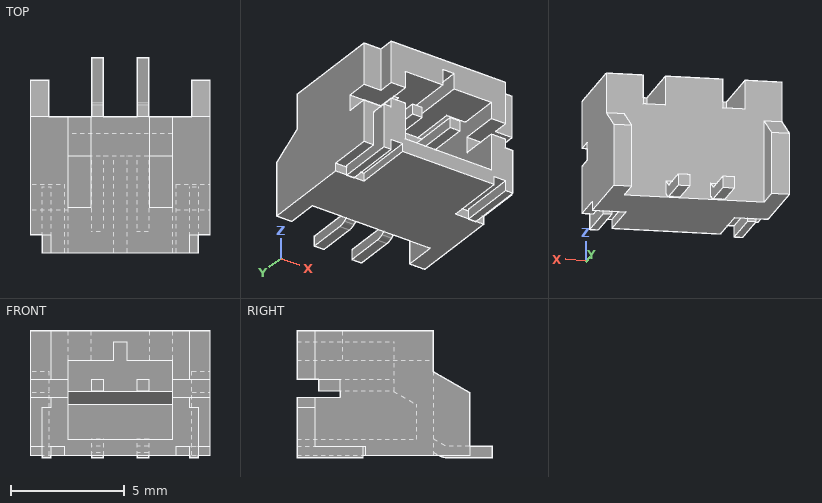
import cadquery as cq
import math


width = 7.9
height = 5.6
standoff = 0.1
housing_back = 6.0
nose_width = 6.11
nose_length = 0.8

ear_back = 7.6
ear_width = 0.81
ear_low = 2.87
ear_high = 3.79

cavity_width = 4.575
cavity_floor = 0.81
cavity_top = 4.29
cavity_back = 4.26
undercut_low = 2.34
undercut_high = 2.915
slope_angle = 30.0
keyway_width = 0.6
keyway_top = 5.09

side_slot_depth = 1.89
side_slot_low = 2.66
side_slot_high = 3.46
top_slot_width = 1.0
top_slot_front = 2.01

tab_thickness = 0.39
tab_top = 2.21
tab_length = 2.91
recess_top = 0.51
recess_back = 3.01
recess_inner_x = 2.44

pin_pitch = 2.0
pin_size = 0.52
pin_front = 0.955
pin_top = 3.46
foot_back = 8.6
bend_start = 6.61
bend_radius = 0.21
embedded_length = 0.69

SIDES = (-1, 1)
slope = math.tan(math.radians(slope_angle))


def box(x0, x1, y0, y1, z0, z1):
    """Box between opposite corner coordinates, given in any order."""
    size = (abs(x1 - x0), abs(y1 - y0), abs(z1 - z0))
    centre = ((x0 + x1) / 2, (y0 + y1) / 2, (z0 + z1) / 2)
    return cq.Workplane("XY").box(*size).translate(centre)


def side_profile(points, x0, x1):
    """Extrude a (Y, Z) outline from x0 to x1."""
    return cq.Workplane("YZ").polyline(points).close().extrude(x1 - x0).translate((x0, 0, 0))


def make_housing():
    """Main block with narrowed nose and two sloping rear ears."""
    half = width / 2
    body = box(-half, half, nose_length, housing_back, standoff, height)
    body = body.union(box(-nose_width / 2, nose_width / 2, 0, nose_length, standoff, height))
    ear_outline = [
        (nose_length, standoff),
        (ear_back, standoff),
        (ear_back, ear_low),
        (housing_back, ear_high),
        (nose_length, ear_high),
    ]
    for x0 in (-half, half - ear_width):
        body = body.union(side_profile(ear_outline, x0, x0 + ear_width))
    return body


def make_cavity():
    """Mating space with an undercut rear wall and a keyway in its roof."""
    undercut_back = cavity_back + (undercut_high - undercut_low) / slope
    outline = [
        (0, cavity_floor),
        (undercut_back, cavity_floor),
        (undercut_back, undercut_low),
        (cavity_back, undercut_high),
        (cavity_back, cavity_top),
        (0, cavity_top),
    ]
    cavity = side_profile(outline, -cavity_width / 2, cavity_width / 2)
    keyway = box(-keyway_width / 2, keyway_width / 2, 0, cavity_back, cavity_top, keyway_top)
    return cavity.union(keyway)


def cut_wall_openings(body):
    """Side slots, roof slots and recesses above the solder tabs."""
    for side in SIDES:
        outer = side * width / 2
        inner = side * cavity_width / 2
        body = body.cut(box(inner, outer, 0, side_slot_depth, side_slot_low, side_slot_high))
        slot_inner = inner - side * top_slot_width
        body = body.cut(box(slot_inner, inner, top_slot_front, housing_back, cavity_top, height))
        body = body.cut(box(side * recess_inner_x, outer, 0, recess_back, standoff, recess_top))
    return body


def make_tab(side):
    """L-shaped upright plate beside the nose."""
    outline = [
        (0, 0),
        (tab_length, 0),
        (tab_length, recess_top),
        (nose_length, recess_top),
        (nose_length, tab_top),
        (0, tab_top),
    ]
    inner = side * nose_width / 2
    outer = inner + side * tab_thickness
    return side_profile(outline, min(inner, outer), max(inner, outer))


def bend_point(radius, angle=slope_angle):
    """(Y, Z) point on a bend arc, at an angle up from the flat foot."""
    turn = math.radians(angle)
    return (bend_start - radius * math.sin(turn), bend_radius + pin_size - radius * math.cos(turn))


def slope_point(radius):
    """(Y, Z) point where the sloping face above a bend arc ends inside the housing."""
    y, z = bend_point(radius)
    y_end = housing_back - embedded_length
    return (y_end, z + (y - y_end) * slope)


def make_contact(x):
    """Straight pin in the cavity and a bent solder foot behind the housing."""
    x0 = x - pin_size / 2
    x1 = x + pin_size / 2
    pin = box(x0, x1, pin_front, housing_back, pin_top - pin_size, pin_top)
    foot = (
        cq.Workplane("YZ")
        .moveTo(foot_back, 0)
        .lineTo(bend_start, 0)
        .tangentArcPoint(bend_point(bend_radius + pin_size), relative=False)
        .lineTo(*slope_point(bend_radius + pin_size))
        .lineTo(*slope_point(bend_radius))
        .lineTo(*bend_point(bend_radius))
        .threePointArc(bend_point(bend_radius, slope_angle / 2), (bend_start, pin_size))
        .lineTo(foot_back, pin_size)
        .close()
        .extrude(pin_size)
        .translate((x0, 0, 0))
    )
    return pin.union(foot)


result = cut_wall_openings(make_housing().cut(make_cavity()))
for side in SIDES:
    result = result.union(make_tab(side))
    result = result.union(make_contact(side * pin_pitch / 2))